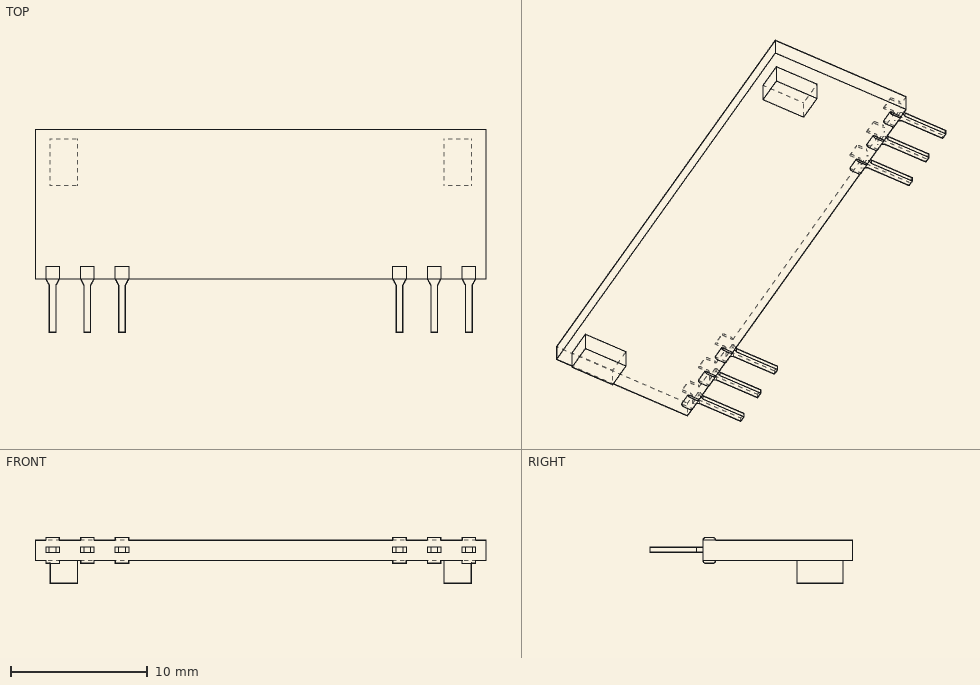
import cadquery as cq

board_length = 33.02
overall_depth = 14.85
overall_height = 3.37
board_depth = 10.95
board_thickness = 1.5
board_front = 0.0

pin_slots = 13
pins_per_group = 3
pitch = board_length / pin_slots
pin_length = overall_depth - board_depth
pin_width = 0.5
pin_thickness = 0.4
pin_middle_z = 0.8
shoulder_width = 1.0
shoulder_length = 0.45

pad_width = 1.0
pad_depth = 0.92
pad_height = 0.215

block_width = 2.0
block_depth = 3.4
block_height = overall_height - board_thickness - pad_height
block_side_margin = 1.1
block_rear_margin = 0.7


def make_board():
    board = cq.Workplane("XY").box(board_length, board_depth, board_thickness, centered=(True, False, False))
    return board.translate((0, board_front, 0))


def make_pin():
    """Flat pin at X = 0 that tapers from a wide shoulder to a straight shank."""
    shoulder_end = board_front - shoulder_length
    tip = board_front - pin_length
    return (
        cq.Workplane("XY", origin=(0, 0, pin_middle_z - pin_thickness / 2))
        .moveTo(-shoulder_width / 2, board_front)
        .lineTo(-pin_width / 2, shoulder_end)
        .lineTo(-pin_width / 2, tip)
        .lineTo(pin_width / 2, tip)
        .lineTo(pin_width / 2, shoulder_end)
        .lineTo(shoulder_width / 2, board_front)
        .close()
        .extrude(pin_thickness)
    )


def make_pad(base_z, outward):
    """Pad at X = 0 with full-height quarter-round ends; outward is +1 above the board and -1 below it."""
    outer_z = base_z + outward * pad_height
    pad_rear = board_front + pad_depth
    return (
        cq.Workplane("YZ")
        .moveTo(board_front, base_z)
        .radiusArc((board_front + pad_height, outer_z), outward * pad_height)
        .lineTo(pad_rear - pad_height, outer_z)
        .radiusArc((pad_rear, base_z), outward * pad_height)
        .close()
        .extrude(pad_width / 2, both=True)
    )


def make_block(side):
    """Block under the board; side is -1 for the left end and +1 for the right end."""
    middle_x = side * (board_length / 2 - block_side_margin - block_width / 2)
    rear = board_front + board_depth - block_rear_margin
    block = cq.Workplane("XY").box(block_width, block_depth, block_height, centered=(True, False, False))
    return block.translate((middle_x, rear - block_depth, -block_height))


result = make_board()

for side in (-1, 1):
    result = result.union(make_block(side))

terminal_parts = [make_pin(), make_pad(board_thickness, 1), make_pad(0, -1)]
for side in (-1, 1):
    for index in range(pins_per_group):
        terminal_x = side * (board_length / 2 - (index + 0.5) * pitch)
        for terminal_part in terminal_parts:
            result = result.union(terminal_part.translate((terminal_x, 0, 0)))